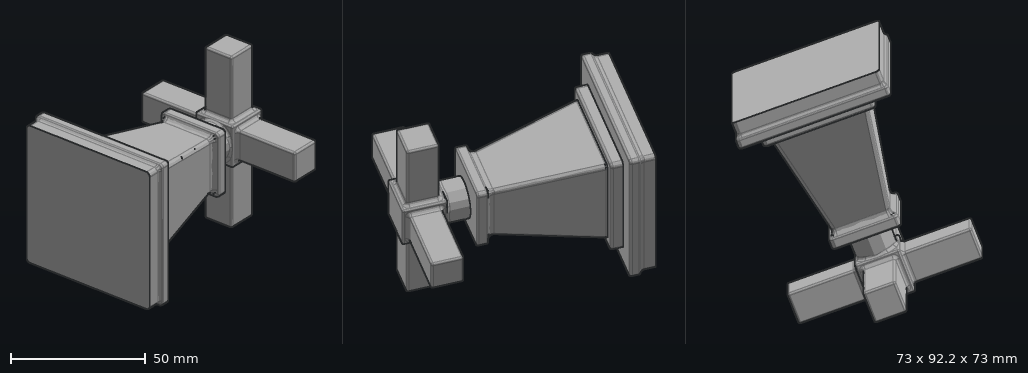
import cadquery as cq

total_length = 92.2

plate_width = 58.5
plate_top = 6.0
flange_width = 60.5
flange_top = 10.5
flange_corner_radius = 1.5
flange_edge_radius = 0.9

step_width = 44.6
step_top = 15.5
step_edge_radius = 1.0

foot_width = 37.9
foot_height = 0.6
neck_width = 23.4
neck_position = 57.3

collar_width = 27.5
collar_bottom = 60.1
collar_top = 64.7
collar_edge_radius = 0.7

base_corner_radius = 1.7
plate_cove_radius = 2.0
collar_cove_radius = 2.3

hub_width = 17.7
hub_edge_radius = 0.7
bar_span = 73.0
bar_width = 12.8
bar_edge_radius = 0.8
bar_cove_radius = 1.5
stem_diameter = 16.2
stem_gap = 0.6
stem_cove_radius = 1.3

hub_center = total_length - hub_width / 2
hub_bottom = total_length - hub_width
stem_start = collar_top + stem_gap

pick_margin = 0.3


def square_block(width, bottom, top, corner_radius):
    """Square block on the Y axis with rounded long edges."""
    block = cq.Workplane("XZ", origin=(0, bottom, 0)).rect(width, width).extrude(bottom - top)
    return block.edges("|Y").fillet(corner_radius)


def seam_on_axis(width, position):
    """Selector for edges in the plane Y = position, within a square of the given width."""
    reach = width / 2 + pick_margin
    return cq.selectors.BoxSelector(
        (-reach, position - pick_margin, -reach),
        (reach, position + pick_margin, reach),
    )


def make_plate_and_flange():
    plate = square_block(plate_width, 0, plate_top, base_corner_radius)
    flange = square_block(flange_width, plate_top, flange_top, flange_corner_radius)
    flange = flange.faces("<Y or >Y").edges().fillet(flange_edge_radius)
    joined = plate.union(flange)
    return joined.edges(seam_on_axis(plate_width, plate_top)).fillet(plate_cove_radius)


def make_step():
    step = square_block(step_width, flange_top, step_top, base_corner_radius)
    return step.faces(">Y").edges().fillet(step_edge_radius)


def make_column_and_collar():
    foot_top = step_top + foot_height
    column_top = (collar_bottom + collar_top) / 2
    narrowing = (foot_width - neck_width) / (neck_position - foot_top)
    tip_width = foot_width - narrowing * (column_top - foot_top)

    foot = cq.Workplane("XZ", origin=(0, step_top, 0)).rect(foot_width, foot_width).extrude(-foot_height)
    taper = (
        cq.Workplane("XZ", origin=(0, foot_top, 0))
        .rect(foot_width, foot_width)
        .workplane(offset=foot_top - column_top)
        .rect(tip_width, tip_width)
        .loft(ruled=True)
    )
    column = foot.union(taper).edges("not(|X or |Z)").fillet(base_corner_radius)

    collar = square_block(collar_width, collar_bottom, collar_top, base_corner_radius)
    collar = collar.faces("<Y or >Y").edges().fillet(collar_edge_radius)
    joined = column.union(collar)
    return joined.edges(seam_on_axis(neck_width, collar_bottom)).fillet(collar_cove_radius)


def make_base():
    return make_plate_and_flange().union(make_step()).union(make_column_and_collar())


def rounded_box(length_x, length_y, length_z, edge_radius):
    """Box around the hub center with all edges rounded."""
    box = cq.Workplane("XY", origin=(0, hub_center, 0)).box(length_x, length_y, length_z)
    return box.edges().fillet(edge_radius)


def bar_seam(x_face, z_face):
    """Selector for the edges where a bar leaves the hub face centered at (x_face, z_face)."""
    reach = bar_width / 2 + pick_margin
    half_x = pick_margin if x_face else reach
    half_z = pick_margin if z_face else reach
    return cq.selectors.BoxSelector(
        (x_face - half_x, hub_center - reach, z_face - half_z),
        (x_face + half_x, hub_center + reach, z_face + half_z),
    )


def make_handle():
    handle = rounded_box(hub_width, hub_width, hub_width, hub_edge_radius)
    handle = handle.union(rounded_box(bar_span, bar_width, bar_width, bar_edge_radius))
    handle = handle.union(rounded_box(bar_width, bar_width, bar_span, bar_edge_radius))
    for side in (-hub_width / 2, hub_width / 2):
        handle = handle.edges(bar_seam(side, 0)).fillet(bar_cove_radius)
        handle = handle.edges(bar_seam(0, side)).fillet(bar_cove_radius)

    stem_length = hub_center - stem_start
    stem = cq.Workplane("XZ", origin=(0, stem_start, 0)).circle(stem_diameter / 2).extrude(-stem_length)
    handle = handle.union(stem)
    return handle.edges(seam_on_axis(stem_diameter, hub_bottom)).fillet(stem_cove_radius)


base = make_base()
handle = make_handle()

result = cq.Compound.makeCompound([*base.solids().vals(), *handle.solids().vals()])